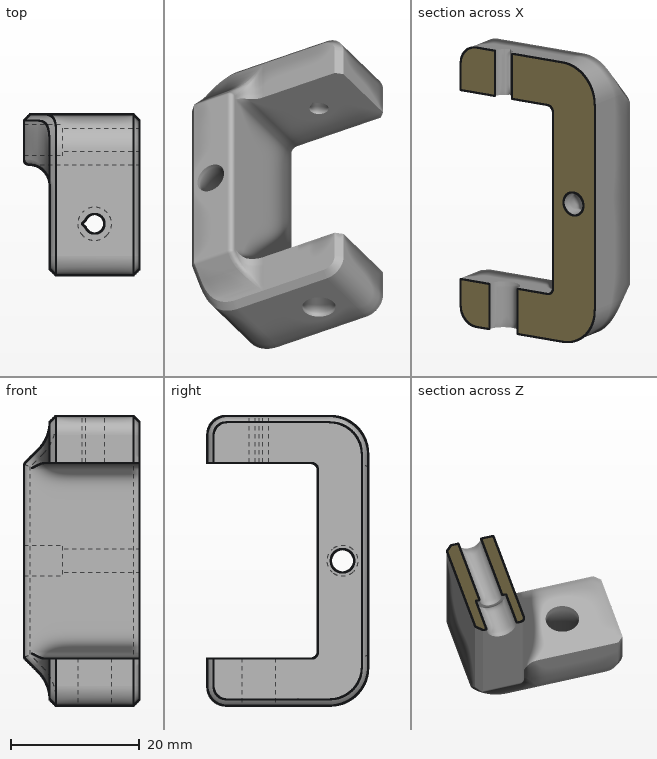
import cadquery as cq
import math

length_x = 18.0
depth_y = 25.0
height_z = 45.0

gap_height = 30.3
wall_thickness = 7.85
back_corner_radius = 6.0
tip_corner_radius = 3.0
inner_corner_radius = 1.0
edge_chamfer = 1.0

boss_length = 4.0
boss_height = 30.0
boss_slope_radius = 6.0
boss_front_radius = 3.15
boss_edge_round = 0.84

pin_diameter = 3.0
notch_reach = 1.95
notch_depth = 0.6
bushing_diameter = 5.2
pin_y = 8.0
bolt_y = 21.0
bolt_diameter = 3.6
bolt_recess_diameter = 4.8
bolt_recess_depth = 6.0

half_height = height_z / 2
half_boss = boss_height / 2
wall_front_y = depth_y - wall_thickness
pin_x = (boss_length + length_x) / 2
cos_45 = math.sqrt(0.5)
half_bend = math.radians(45) / 2
margin = 0.1


def make_c_profile():
    """C-shaped bar with rounded corners, running the full length in X."""
    bar = cq.Workplane("YZ").rect(depth_y, height_z).extrude(length_x)
    bar = bar.translate((0, depth_y / 2, 0))
    bar = bar.edges("|X and >Y").fillet(back_corner_radius)
    bar = bar.edges("|X and <Y").fillet(tip_corner_radius)
    opening = cq.Workplane("YZ").rect(wall_front_y, gap_height).extrude(length_x)
    opening = opening.translate((0, wall_front_y / 2, 0))
    opening = opening.edges("|X and >Y").fillet(inner_corner_radius)
    return bar.cut(opening)


def make_plan_outline():
    """Outline in XY: the boss blends into the arm side with a concave arc."""
    arc_center_x = boss_length - boss_front_radius
    arc_center_y = wall_front_y - boss_front_radius
    arc_offset = boss_front_radius * cos_45
    return (
        cq.Workplane("XY")
        .moveTo(0, depth_y)
        .lineTo(0, wall_front_y)
        .lineTo(arc_center_x, wall_front_y)
        .threePointArc(
            (arc_center_x + arc_offset, arc_center_y + arc_offset),
            (boss_length, arc_center_y),
        )
        .lineTo(boss_length, 0)
        .lineTo(length_x, 0)
        .lineTo(length_x, depth_y)
        .close()
        .extrude(half_height, both=True)
    )


def make_side_outline():
    """Outline in XZ: 45 degree boss ends blend into the arm side with concave arcs."""
    slope_end_z = half_boss + boss_length
    tangent_length = boss_slope_radius * math.tan(half_bend)
    tangent_offset = tangent_length * cos_45
    arc_center_x = boss_length - boss_slope_radius
    arc_center_z = slope_end_z + tangent_length
    arc_start = (boss_length - tangent_offset, slope_end_z - tangent_offset)
    arc_middle = (
        arc_center_x + boss_slope_radius * math.cos(half_bend),
        arc_center_z - boss_slope_radius * math.sin(half_bend),
    )
    upper = (
        cq.Workplane("XZ")
        .moveTo(0, 0)
        .lineTo(0, half_boss)
        .lineTo(*arc_start)
        .threePointArc(arc_middle, (boss_length, arc_center_z))
        .lineTo(boss_length, half_height)
        .lineTo(length_x, half_height)
        .lineTo(length_x, 0)
        .close()
        .extrude(-depth_y)
    )
    return upper.union(upper.mirror("XY"))


def chamfer_outer_edges(body):
    """Chamfer both side outlines of the C along its outer boundary."""
    chamfered_z = half_height - edge_chamfer
    inner_region = cq.selectors.BoxSelector(
        (-margin, tip_corner_radius, -chamfered_z),
        (length_x + margin, depth_y - 2 * edge_chamfer, chamfered_z),
    )
    not_lengthwise = cq.selectors.StringSyntaxSelector("not |X")
    return body.edges(not_lengthwise - inner_region).chamfer(edge_chamfer)


def round_boss_edges(body):
    """Round the boss face border and the ridges where its slopes meet its front."""
    selected = cq.selectors.BoxSelector(
        (-margin, wall_front_y - margin, -half_boss - margin),
        (margin, depth_y - edge_chamfer - margin, half_boss + margin),
    )
    ridge_start_y = wall_front_y - boss_front_radius + margin
    ridge_start_z = max(half_boss, gap_height / 2) + margin
    for side in (1, -1):
        selected = selected + cq.selectors.BoxSelector(
            (margin, ridge_start_y, side * ridge_start_z),
            (boss_length - margin, wall_front_y + margin, side * half_height),
        )
    return body.edges(selected).fillet(boss_edge_round)


def make_pin_hole():
    """Vertical cutter through the upper arm, round with a 90 degree notch toward -X."""
    base_plane = cq.Workplane("XY", origin=(pin_x, pin_y, 0))
    round_hole = base_plane.circle(pin_diameter / 2).extrude(half_height)
    notch_base_x = notch_depth - notch_reach
    notch = (
        base_plane.moveTo(-notch_reach, 0)
        .lineTo(notch_base_x, -notch_depth)
        .lineTo(notch_base_x, notch_depth)
        .close()
        .extrude(half_height)
    )
    return round_hole.union(notch)


def make_bushing_hole():
    """Vertical cutter through the lower arm, in line with the pin hole."""
    return (
        cq.Workplane("XY", origin=(pin_x, pin_y, 0))
        .circle(bushing_diameter / 2)
        .extrude(-half_height)
    )


def make_bolt_hole():
    """Stepped cutter along X through the wall, wider at the boss face."""
    end_plane = cq.Workplane("YZ", origin=(0, bolt_y, 0))
    bore = end_plane.circle(bolt_diameter / 2).extrude(length_x)
    recess = end_plane.circle(bolt_recess_diameter / 2).extrude(bolt_recess_depth)
    return bore.union(recess)


body = make_c_profile().intersect(make_plan_outline()).intersect(make_side_outline())
body = chamfer_outer_edges(body)
body = round_boss_edges(body)
body = body.cut(make_pin_hole())
body = body.cut(make_bushing_hole())
result = body.cut(make_bolt_hole())